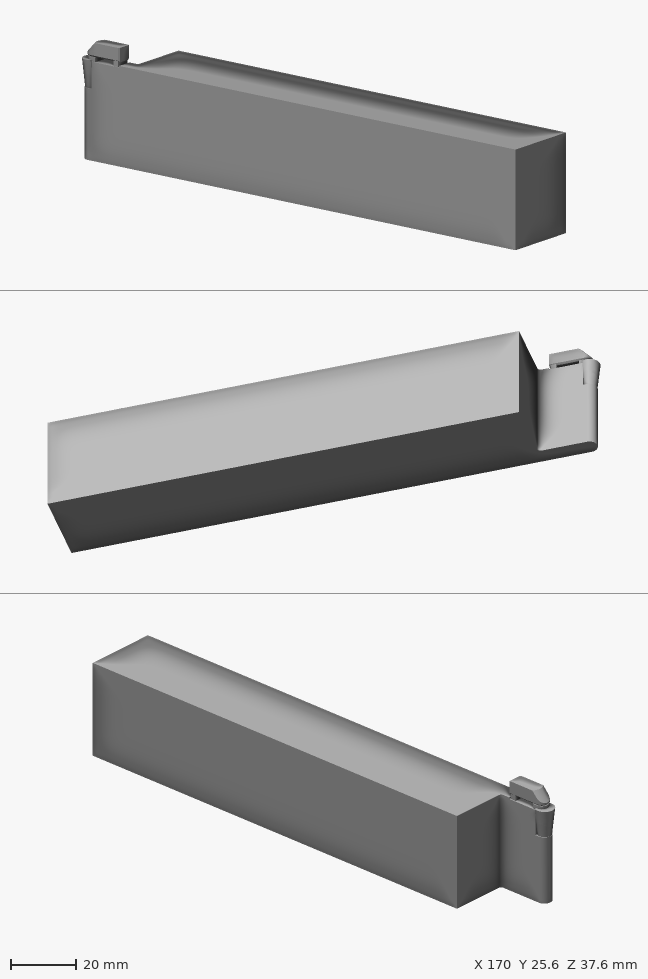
import cadquery as cq
import math

overall_length = 170.0
shank_width = 25.0
shank_height = 32.0
shank_start = 19.0
blade_width = 5.1
nose_start = 0.8
corner_radius = 1.0
recess_depth = 0.5

insert_radius = 3.2
insert_height = 4.5
insert_ridge = 1.5
relief_angle = 6.0
insert_back = 4.8
seat_depth = 9.2

clamp_width = 5.0
clamp_front = 2.0
clamp_end = 15.6
clamp_top = 5.6
clamp_underside = 1.0
clamp_chamfer = 0.5
slope_start_height = 2.0
slope_end = 5.3
slope_sag = 0.7
pad_inset = 0.2
pad_end = 6.1
foot_start = 13.3
foot_end = 15.1

blade_middle = blade_width / 2
nose_radius = blade_width / 2
nose_center = nose_start + nose_radius
clamp_middle = clamp_width / 2
side_margin = 1.7


def box(x_range, y_range, z_range):
    """Box spanning three (low, high) ranges."""
    spans = (x_range, y_range, z_range)
    sizes = [high - low for low, high in spans]
    corner = tuple(low for low, high in spans)
    return cq.Workplane("XY").box(*sizes, centered=False).translate(corner)


def make_taper(depth):
    """Cone with the insert's top radius and relief angle, reaching down to the given depth."""
    bottom_radius = insert_radius - depth * math.tan(math.radians(relief_angle))
    base = cq.Vector(insert_radius, blade_middle, shank_height - depth)
    return cq.Workplane(cq.Solid.makeCone(bottom_radius, insert_radius, depth, base))


def make_insert_space():
    """V-bottomed slot in the front of the blade, closed by the wall behind the insert."""
    left = blade_middle - insert_radius
    right = blade_middle + insert_radius
    edge_z = shank_height - insert_height
    return (
        cq.Workplane("YZ")
        .moveTo(left, shank_height)
        .lineTo(left, edge_z)
        .lineTo(blade_middle, edge_z - insert_ridge)
        .lineTo(right, edge_z)
        .lineTo(right, shank_height)
        .close()
        .extrude(insert_back)
    )


def make_insert():
    return make_taper(insert_height + insert_ridge).intersect(make_insert_space())


def make_round_finger(inset, x_end, z_low, z_high):
    """Upright slab with a half-round nose, set in from the clamp outline by the inset."""
    radius = clamp_middle - inset
    center_x = clamp_front + clamp_middle
    return (
        cq.Workplane("XY", origin=(0, clamp_middle, shank_height + z_low))
        .moveTo(center_x, -radius)
        .lineTo(x_end, -radius)
        .lineTo(x_end, radius)
        .lineTo(center_x, radius)
        .threePointArc((center_x - radius, 0), (center_x, -radius))
        .close()
        .extrude(z_high - z_low)
    )


def make_slope_envelope():
    """Long prism parallel to the front slope, with an arched front face."""
    plane = cq.Plane(
        origin=(clamp_front, clamp_middle, shank_height + slope_start_height),
        xDir=(0, 1, 0),
        normal=(slope_end - clamp_front, 0, clamp_top - slope_start_height),
    )
    reach = 2 * clamp_end
    return (
        cq.Workplane(plane)
        .moveTo(-clamp_middle, -slope_sag)
        .threePointArc((0, 0), (clamp_middle, -slope_sag))
        .lineTo(clamp_middle, -reach)
        .lineTo(-clamp_middle, -reach)
        .close()
        .extrude(reach, both=True)
    )


def make_clamp():
    arm = make_round_finger(0, clamp_end, clamp_underside, clamp_top)
    arm = arm.intersect(make_slope_envelope())
    arm = arm.faces("<Y").edges(">X or <Z").chamfer(clamp_chamfer)
    pad = make_round_finger(pad_inset, pad_end, 0, clamp_underside)
    foot_top = clamp_underside + clamp_chamfer
    foot = box(
        (foot_start, foot_end),
        (pad_inset, clamp_width - pad_inset),
        (shank_height - recess_depth, shank_height + foot_top),
    )
    return arm.union(pad).union(foot)


def make_holder():
    shank = box((shank_start, overall_length), (0, shank_width), (0, shank_height))
    blade = box((nose_center, shank_start), (0, blade_width), (0, shank_height))
    nose = cq.Workplane("XY").center(nose_center, blade_middle).circle(nose_radius).extrude(shank_height)
    body = shank.union(blade).union(nose)
    corner = cq.selectors.NearestToPointSelector((shank_start, blade_width, shank_height / 2))
    body = body.edges("|Z").edges(corner).fillet(corner_radius)

    cut_width = (-side_margin, blade_width + side_margin)
    front_block = box((0, insert_back), cut_width, (shank_height - seat_depth, shank_height))
    seat = make_taper(seat_depth).intersect(front_block)
    body = body.cut(front_block).union(seat)
    body = body.cut(make_insert_space())

    recess = box((insert_back, clamp_end), cut_width, (shank_height - recess_depth, shank_height))
    recess = recess.cut(box((insert_back, pad_end), (pad_inset, clamp_width - pad_inset), (0, shank_height)))
    return body.cut(recess).union(make_clamp())


holder = make_holder()
insert = make_insert()
result = cq.Compound.makeCompound([holder.val(), insert.val()])